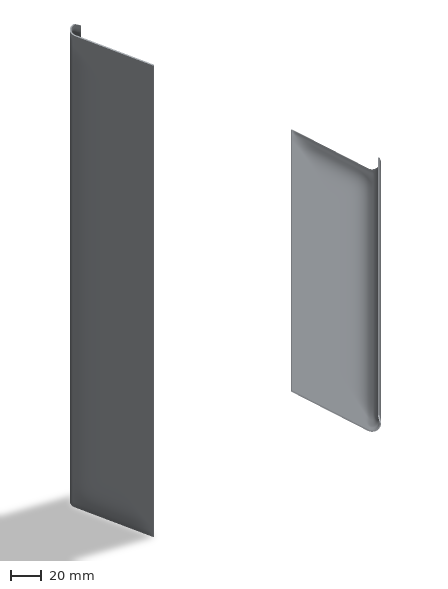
import cadquery as cq
import math

length = 493.0
width = 63.0
depth = 12.5
thickness = 1.0

outer_radius = 6.0
inner_radius = outer_radius - thickness
lip_angle = math.radians(45)
corner_chamfer = 3.5

plate_outer_y = -outer_radius
plate_end_x = width - outer_radius
lip_tip_y = depth - outer_radius
lip_length = (lip_tip_y - outer_radius * math.sin(lip_angle)) / math.cos(lip_angle)


def bend_point(radius, angle):
    """Point on the bend, with the angle measured up from the -X direction."""
    return (-radius * math.cos(angle), radius * math.sin(angle))


def lip_end(radius):
    """End of the lip, which leaves the bend along its tangent."""
    x, y = bend_point(radius, lip_angle)
    return (x + lip_length * math.sin(lip_angle), y + lip_length * math.cos(lip_angle))


def make_strip():
    """Constant hooked profile extruded along the full length."""
    return (
        cq.Workplane("XY")
        .moveTo(plate_end_x, plate_outer_y)
        .lineTo(0, plate_outer_y)
        .threePointArc((-outer_radius, 0), bend_point(outer_radius, lip_angle))
        .lineTo(*lip_end(outer_radius))
        .lineTo(*lip_end(inner_radius))
        .lineTo(*bend_point(inner_radius, lip_angle))
        .threePointArc((-inner_radius, 0), (0, -inner_radius))
        .lineTo(plate_end_x, -inner_radius)
        .close()
        .extrude(length)
    )


def make_corner_cutter(end_z, inward):
    """Wedge that trims the lip corner at one end of the strip."""
    return (
        cq.Workplane("YZ")
        .polyline([
            (lip_tip_y - corner_chamfer, end_z),
            (lip_tip_y, end_z),
            (lip_tip_y, end_z + inward * corner_chamfer),
        ])
        .close()
        .extrude(outer_radius, both=True)
    )


result = make_strip()
for end_z, inward in ((0, 1), (length, -1)):
    result = result.cut(make_corner_cutter(end_z, inward))